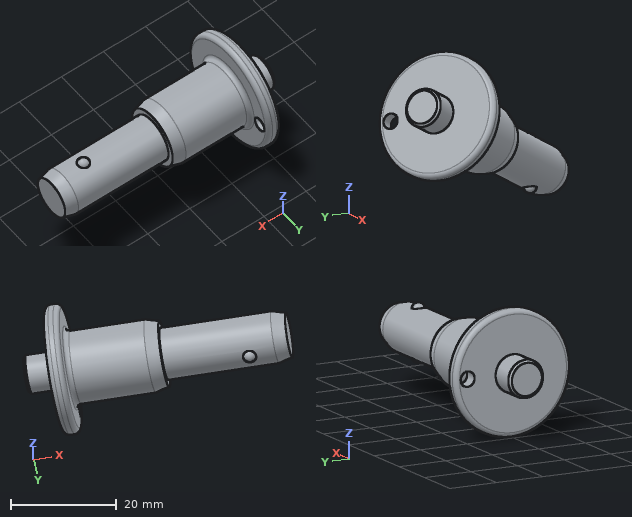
import cadquery as cq
import math


overall_length = 50.5
button_length = 5.5
flange_thickness = 3.0
hub_length = 18.05
taper_length = 2.65
taper_angle = 15.0

button_diameter = 7.45
flange_diameter = 25.0
hub_diameter = 14.05
shank_diameter = 10.0

button_chamfer = 0.5
flange_rim_fillet = 1.0
hub_root_fillet = 1.0

lanyard_hole_diameter = 3.0
lanyard_hole_offset = 9.75

ball_diameter = 2.65
ball_x = 42.9
ball_protrusion = 0.9

flange_back_x = button_length + flange_thickness
hub_end_x = flange_back_x + hub_length
taper_drop = taper_length * math.tan(math.radians(taper_angle))
ball_radius = ball_diameter / 2
ball_offset = shank_diameter / 2 + ball_protrusion - ball_radius


def cylinder_along_x(start_x, length, diameter):
    """Cylinder on the pin axis, running in +X from start_x."""
    return cq.Workplane("YZ", origin=(start_x, 0, 0)).circle(diameter / 2).extrude(length)


def tapered_cylinder(start_x, end_x, diameter):
    """Solid of revolution about the pin axis whose +X end narrows to a short cone."""
    radius = diameter / 2
    profile = [
        (start_x, 0),
        (start_x, radius),
        (end_x - taper_length, radius),
        (end_x, radius - taper_drop),
        (end_x, 0),
    ]
    return cq.Workplane("XY").polyline(profile).close().revolve(360, (0, 0, 0), (1, 0, 0))


def make_ball(side):
    """Locking ball above (side = 1) or below (side = -1) the pin axis."""
    return cq.Workplane("XY", origin=(ball_x, 0, side * ball_offset)).sphere(ball_radius)


def make_pin_body(balls):
    """Button, flange, hub and shank in one piece, with a seat for each ball."""
    button = cylinder_along_x(0, button_length, button_diameter)
    button = button.faces("<X").chamfer(button_chamfer)

    flange = cylinder_along_x(button_length, flange_thickness, flange_diameter)
    flange = flange.edges().fillet(flange_rim_fillet)

    hub = tapered_cylinder(flange_back_x, hub_end_x, hub_diameter)
    grip = flange.union(hub)
    root_edge = cq.selectors.BoxSelector(
        (flange_back_x - hub_root_fillet / 2, -hub_diameter, -hub_diameter),
        (flange_back_x + hub_root_fillet / 2, hub_diameter, hub_diameter),
        boundingbox=True,
    )
    grip = grip.edges(root_edge).edges(cq.selectors.RadiusNthSelector(0)).fillet(hub_root_fillet)

    shank = tapered_cylinder(hub_end_x, overall_length, shank_diameter)
    body = button.union(grip).union(shank)

    lanyard_hole = (
        cq.Workplane("YZ", origin=(button_length, lanyard_hole_offset, 0))
        .circle(lanyard_hole_diameter / 2)
        .extrude(flange_thickness)
    )
    body = body.cut(lanyard_hole)

    for ball in balls:
        body = body.cut(ball)
    return body.solids()


locking_balls = [make_ball(side) for side in (1, -1)]
pin_body = make_pin_body(locking_balls)

result = cq.Compound.makeCompound([pin_body.val(), *[ball.val() for ball in locking_balls]])